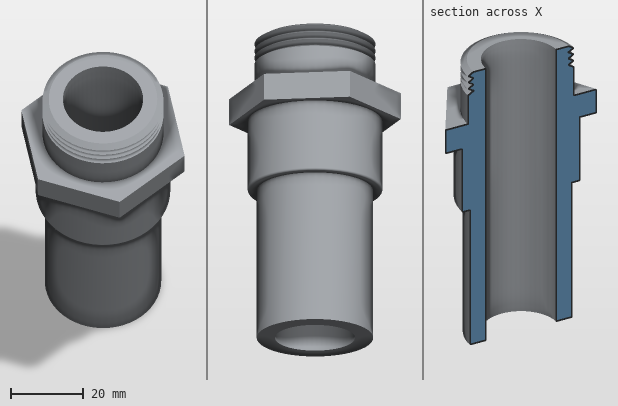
import cadquery as cq
import math

total_length = 86.0
bore_diameter = 22.0

spigot_diameter = 32.0
spigot_length = 42.5

collar_diameter = 37.0
collar_length = 20.0
collar_fillet = 0.5

hex_across_flats = 41.0
hex_thickness = 7.5

thread_diameter = 33.25
thread_root_diameter = 29.8
thread_pitch = 2.0
groove_count = 3

collar_bottom = spigot_length
hex_bottom = collar_bottom + collar_length
neck_bottom = hex_bottom + hex_thickness


def cylinder(diameter, bottom, height):
    return cq.Workplane("XY").workplane(offset=bottom).circle(diameter / 2).extrude(height)


def make_spigot():
    return cylinder(spigot_diameter, 0, spigot_length)


def make_collar():
    collar = cylinder(collar_diameter, collar_bottom, collar_length)
    return collar.faces("<Z").edges().fillet(collar_fillet)


def make_hexagon():
    across_corners = hex_across_flats / math.cos(math.pi / 6)
    hexagon = cq.Workplane("XY").polygon(6, across_corners).extrude(hex_thickness)
    hexagon = hexagon.rotate((0, 0, 0), (0, 0, 1), 90)
    return hexagon.translate((0, 0, hex_bottom))


def make_threaded_end():
    """Revolve a plain neck topped by V grooves; the top face lies at a groove root."""
    crest_radius = thread_diameter / 2
    root_radius = thread_root_diameter / 2
    half_pitch = thread_pitch / 2

    profile = [(0, total_length), (root_radius, total_length)]
    for groove in range(1, groove_count + 1):
        root_height = total_length - groove * thread_pitch
        profile.append((crest_radius, root_height + half_pitch))
        profile.append((root_radius, root_height))
    neck_top = total_length - groove_count * thread_pitch - half_pitch
    profile += [(crest_radius, neck_top), (crest_radius, neck_bottom), (0, neck_bottom)]

    return cq.Workplane("XZ").polyline(profile).close().revolve(360, (0, 0), (0, 1))


body = make_spigot().union(make_collar()).union(make_hexagon()).union(make_threaded_end())
result = body.cut(cylinder(bore_diameter, 0, total_length))